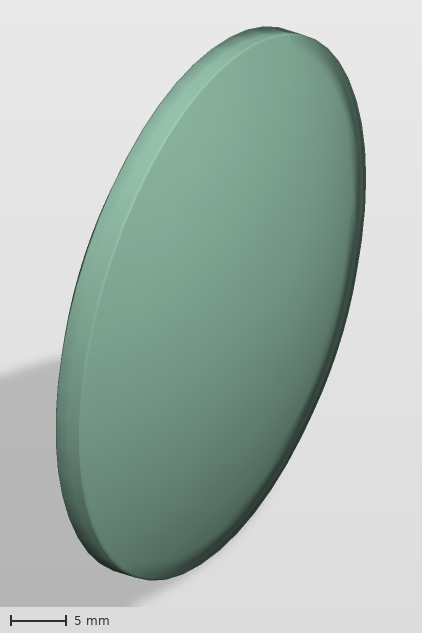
import cadquery as cq

diameter = 50.8
center_thickness = 15.6
edge_thickness = 2.35
bevel = 0.15

rim_radius = diameter / 2
face_radius = rim_radius - bevel
half_center = center_thickness / 2
half_rim = edge_thickness / 2
half_face_edge = half_rim + bevel

sag = half_center - half_face_edge
sphere_radius = (face_radius**2 + sag**2) / (2 * sag)


def cap_height(radius):
    """Distance of the lens face from the middle plane at a given radius."""
    return half_center - sphere_radius + (sphere_radius**2 - radius**2) ** 0.5


mid_radius = face_radius / 2
mid_height = cap_height(mid_radius)
half_section = (
    cq.Workplane("XY")
    .moveTo(-half_center, 0)
    .threePointArc((-mid_height, mid_radius), (-half_face_edge, face_radius))
    .lineTo(-half_rim, rim_radius)
    .lineTo(half_rim, rim_radius)
    .lineTo(half_face_edge, face_radius)
    .threePointArc((mid_height, mid_radius), (half_center, 0))
    .close()
)

result = half_section.revolve(360, (0, 0, 0), (1, 0, 0))